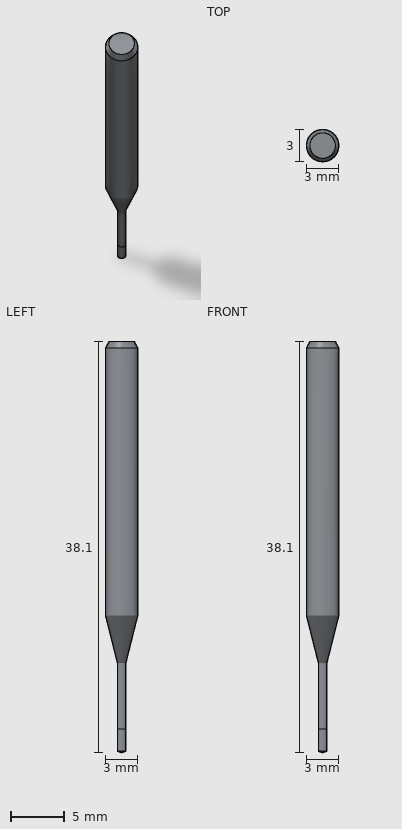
import cadquery as cq
import math

total_length = 38.15
shank_diameter = 3.0
drill_diameter = 0.8
point_angle = 140.0

cutter_length = 2.2
neck_top = 8.3
taper_top = 12.7

bevel_length = 0.6
end_face_diameter = 2.35

shank_radius = shank_diameter / 2
drill_radius = drill_diameter / 2
end_face_radius = end_face_diameter / 2
point_height = drill_radius / math.tan(math.radians(point_angle / 2))


def revolve_profile(points):
    """Turn a closed radius-height outline about the Z axis."""
    return cq.Workplane("XZ").polyline(points).close().revolve(360, (0, 0, 0), (0, 1, 0))


def make_holder():
    """Bevelled shank, taper and slender neck, ending flat where the cutter starts."""
    return revolve_profile([
        (0, cutter_length),
        (drill_radius, cutter_length),
        (drill_radius, neck_top),
        (shank_radius, taper_top),
        (shank_radius, total_length - bevel_length),
        (end_face_radius, total_length),
        (0, total_length),
    ])


def make_cutter():
    """Cylindrical cutting tip with a shallow conical point."""
    return revolve_profile([
        (0, 0),
        (drill_radius, point_height),
        (drill_radius, cutter_length),
        (0, cutter_length),
    ])


holder = make_holder()
cutter = make_cutter()

result = cq.Compound.makeCompound([holder.val(), cutter.val()])